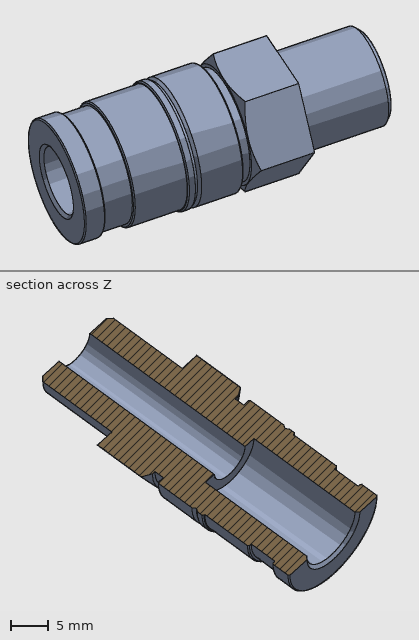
import cadquery as cq
import math

length = 46.0
spigot_start = 33.1
hex_start = 24.5
collar_end = 23.1
groove_end = 16.95
groove_start = 16.0
ring_start = 14.95
waist_end = 7.18
waist_start = 3.05

hex_across_corners = 19.65
hex_chamfer_diameter = 16.95
hex_chamfer_angle = 30.0
spigot_diameter = 14.0
neck_diameter = 15.95
collar_diameter = 18.2
groove_diameter = 17.55
sleeve_diameter = 17.55
waist_diameter = 16.5

spigot_chamfer = 0.7
edge_chamfer = 0.2

through_diameter = 6.03
socket_diameter = 9.5
socket_depth = 18.4
socket_chamfer = 0.45


def cylinder(start, end, diameter):
    """Cylinder on the Y axis between two distances from the mouth."""
    return cq.Workplane("XZ", origin=(0, start, 0)).circle(diameter / 2).extrude(start - end)


def hexagon():
    """Hexagonal nut section with a conical chamfer on its front corners."""
    width = spigot_start - hex_start
    nut = cq.Workplane("XZ", origin=(0, hex_start, 0)).polygon(6, hex_across_corners).extrude(-width)
    front_radius = hex_chamfer_diameter / 2
    corner_radius = hex_across_corners / 2
    chamfer_length = (corner_radius - front_radius) * math.tan(math.radians(hex_chamfer_angle))
    envelope = (
        cylinder(hex_start, spigot_start, hex_across_corners)
        .faces("<Y")
        .chamfer(chamfer_length, corner_radius - front_radius)
    )
    return nut.intersect(envelope)


def collar():
    """Collar with a V groove separating a narrow ring at its front."""
    radius = collar_diameter / 2
    groove_middle = (groove_start + groove_end) / 2
    profile = [
        (0, ring_start),
        (radius - edge_chamfer, ring_start),
        (radius, ring_start + edge_chamfer),
        (radius, groove_start),
        (groove_diameter / 2, groove_middle),
        (radius, groove_end),
        (radius, collar_end - edge_chamfer),
        (radius - edge_chamfer, collar_end),
        (0, collar_end),
    ]
    return cq.Workplane("XY").polyline(profile).close().revolve(360, (0, 0, 0), (0, 1, 0))


def bore():
    """Stepped bore with a countersunk socket mouth."""
    mouth_radius = socket_diameter / 2 + socket_chamfer
    profile = [
        (0, 0),
        (mouth_radius, 0),
        (socket_diameter / 2, socket_chamfer),
        (socket_diameter / 2, socket_depth),
        (through_diameter / 2, socket_depth),
        (through_diameter / 2, length),
        (0, length),
    ]
    return cq.Workplane("XY").polyline(profile).close().revolve(360, (0, 0, 0), (0, 1, 0))


spigot = cylinder(spigot_start, length, spigot_diameter).faces(">Y").chamfer(spigot_chamfer)
neck = cylinder(collar_end, hex_start, neck_diameter)
sleeve = cylinder(waist_end, ring_start, sleeve_diameter).faces("<Y").chamfer(edge_chamfer)
waist = cylinder(waist_start, waist_end, waist_diameter)
flange = cylinder(0, waist_start, sleeve_diameter).faces("<Y or >Y").chamfer(edge_chamfer)

result = flange
for section in (waist, sleeve, collar(), neck, hexagon(), spigot):
    result = result.union(section)
result = result.cut(bore())